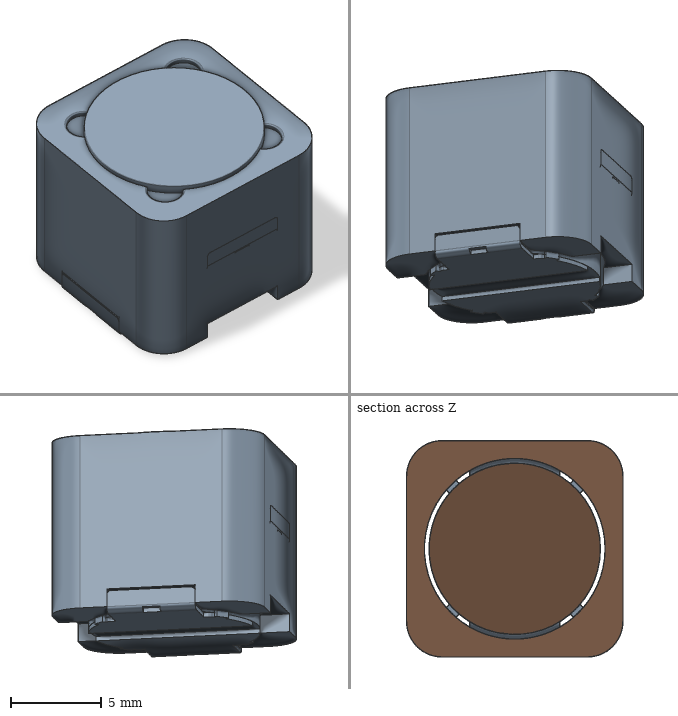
import cadquery as cq
import math


total_height = 10.38
sheet_thickness = 0.25
housing_bottom = 0.35
rim_height = 0.25
housing_top = total_height - rim_height

housing_width = 12.0
housing_corner_radius = 1.98
bore_diameter = 10.0
window_width = 5.0
window_top = 1.35

core_body_diameter = 9.5
core_rim_thickness = 2.5
core_rim_fillet = 0.02

glue_diameter = 2.0
glue_depth = 0.72
glue_recess = 0.25
glue_mouth_fillet = 0.1
glue_top = housing_top - glue_recess
glue_bottom = glue_top - glue_depth
glue_offset = bore_diameter / 2 / math.sqrt(2)

terminal_height = 1.25
bend_outer_radius = housing_bottom
bend_inner_radius = bend_outer_radius - sheet_thickness
leg_corner_radius = 0.2
pad_gap = 1.95
pad_shoulder = 3.77
pad_corner_radius = 0.24
notch_width = 0.98
lug_width = 0.77
lug_reach = 4.98
side_terminal_base = 5.23


def cylinder(diameter, bottom, top):
    return cq.Workplane("XY").workplane(offset=bottom).circle(diameter / 2).extrude(top - bottom)


def box(width, depth, bottom, top):
    return cq.Workplane("XY").workplane(offset=bottom).rect(width, depth).extrude(top - bottom)


def make_bent_strip():
    """L-shaped strip: a flat foot, a rounded bend and a leg flush with the -Y face."""
    front = -housing_width / 2
    bend_centre = front + bend_outer_radius
    foot_end = -pad_shoulder + sheet_thickness
    diagonal = math.sqrt(0.5)
    outer_drop = bend_outer_radius * (1 - diagonal)
    inner_reach = bend_inner_radius * diagonal
    strip = (
        cq.Workplane("YZ", origin=(-window_width / 2, 0, 0))
        .moveTo(foot_end, 0)
        .lineTo(bend_centre, 0)
        .threePointArc((front + outer_drop, outer_drop), (front, bend_outer_radius))
        .lineTo(front, terminal_height)
        .lineTo(front + sheet_thickness, terminal_height)
        .lineTo(front + sheet_thickness, bend_outer_radius)
        .threePointArc(
            (bend_centre - inner_reach, bend_outer_radius - inner_reach),
            (bend_centre, sheet_thickness),
        )
        .lineTo(foot_end, sheet_thickness)
        .close()
        .extrude(window_width)
    )
    strip = strip.faces(">Z").edges("|Y").fillet(leg_corner_radius)
    notch = box(notch_width, 2 * bend_outer_radius, 0, sheet_thickness).translate((0, front, 0))
    return strip.cut(notch)


def make_pad():
    """Flat pad: a slice of a disc between the centre gap and the shoulder."""
    slice_depth = pad_shoulder - pad_gap / 2
    slice_centre = -(pad_shoulder + pad_gap / 2) / 2
    band = box(housing_width, slice_depth, 0, sheet_thickness).translate((0, slice_centre, 0))
    pad = cylinder(core_body_diameter, 0, sheet_thickness).intersect(band)
    return pad.faces("<Y").edges("|Z").fillet(pad_corner_radius)


def make_lugs():
    """Two flat-faced lugs standing on the diagonals in the gap between core and bore."""
    inner_reach = core_body_diameter / 2 - sheet_thickness
    length = lug_reach - inner_reach
    lug = box(length, lug_width, 0, terminal_height).translate((inner_reach + length / 2, 0, 0))
    lug = lug.cut(cylinder(core_body_diameter, sheet_thickness, terminal_height))
    first_lug, second_lug = [lug.rotate((0, 0, 0), (0, 0, 1), angle) for angle in (-45, -135)]
    return first_lug.union(second_lug)


def make_terminal():
    """Terminal on the -Y side."""
    return make_pad().union(make_bent_strip()).union(make_lugs())


def place_pair(terminal, first_angle, base):
    """Two opposite copies of the terminal, turned about the Z axis and raised to the base height."""
    return [
        terminal.rotate((0, 0, 0), (0, 0, 1), angle).translate((0, 0, base))
        for angle in (first_angle, first_angle + 180)
    ]


def make_glue_pocket():
    """Volume of one glue pocket: a straight hole with a rounded mouth."""
    radius = glue_diameter / 2
    mouth_radius = radius + glue_mouth_fillet
    mouth_start = housing_top - glue_mouth_fillet
    arc_reach = glue_mouth_fillet * math.sqrt(0.5)
    return (
        cq.Workplane("XZ")
        .moveTo(0, glue_bottom)
        .lineTo(radius, glue_bottom)
        .lineTo(radius, mouth_start)
        .threePointArc((mouth_radius - arc_reach, mouth_start + arc_reach), (mouth_radius, housing_top))
        .lineTo(0, housing_top)
        .close()
        .revolve()
    )


def place_at_glue_spots(shape):
    return [
        shape.translate((x_side * glue_offset, y_side * glue_offset, 0))
        for x_side in (-1, 1)
        for y_side in (-1, 1)
    ]


def make_glue_dot():
    """Glue dot on the +X +Y diagonal, filling the pocket outside the core rim."""
    dot = cylinder(glue_diameter, glue_bottom, glue_top).translate((glue_offset, glue_offset, 0))
    return dot.cut(cylinder(bore_diameter, glue_bottom, glue_top))


def make_core():
    """Round core: a wide rim on top of a slimmer body, slotted for the raised pads."""
    core = cylinder(core_body_diameter, sheet_thickness, total_height)
    core = core.union(cylinder(bore_diameter, total_height - core_rim_thickness, total_height))
    core = core.faces(">Z").edges().fillet(core_rim_fillet)
    slot_depth = (housing_width - pad_gap) / 2
    slot = box(slot_depth, housing_width, side_terminal_base, side_terminal_base + sheet_thickness)
    for side in (-1, 1):
        core = core.cut(slot.translate((side * (pad_gap + slot_depth) / 2, 0, 0)))
    return core


def make_housing(inset_terminals):
    """Square shield with a through bore, four bottom windows and four glue pockets."""
    housing = box(housing_width, housing_width, housing_bottom, housing_top)
    housing = housing.edges("|Z").fillet(housing_corner_radius)
    housing = housing.cut(cylinder(bore_diameter, housing_bottom, housing_top))
    for pocket in place_at_glue_spots(make_glue_pocket()):
        housing = housing.cut(pocket)
    housing = housing.cut(box(window_width, housing_width, housing_bottom, window_top))
    housing = housing.cut(box(housing_width, window_width, housing_bottom, window_top))
    for terminal in inset_terminals:
        housing = housing.cut(terminal)
    return housing


terminal = make_terminal()
base_terminals = place_pair(terminal, 0, 0)
side_terminals = place_pair(terminal, 90, side_terminal_base)
core = make_core()
housing = make_housing(side_terminals)
glue_dots = [make_glue_dot().rotate((0, 0, 0), (0, 0, 1), 90 * turn) for turn in range(4)]

bodies = [housing, core, *glue_dots, *base_terminals, *side_terminals]
result = cq.Compound.makeCompound([body.solids().val() for body in bodies])